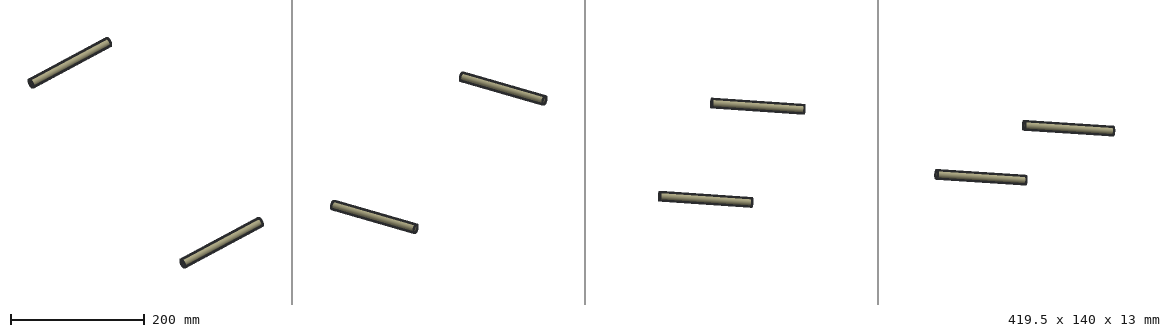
import cadquery as cq

overall_width = 419.5
rod_length = 140.0
rod_diameter = 13.0
rod_spacing = overall_width - rod_diameter


def make_rod(center_x):
    """Plain round rod along Y, with its length centred on the XZ plane."""
    return (
        cq.Workplane("XZ", origin=(center_x, rod_length / 2, 0))
        .circle(rod_diameter / 2)
        .extrude(rod_length)
    )


rods = []
for side in (-1, 1):
    rods.append(make_rod(side * rod_spacing / 2))

result = cq.Compound.makeCompound([rod.val() for rod in rods])